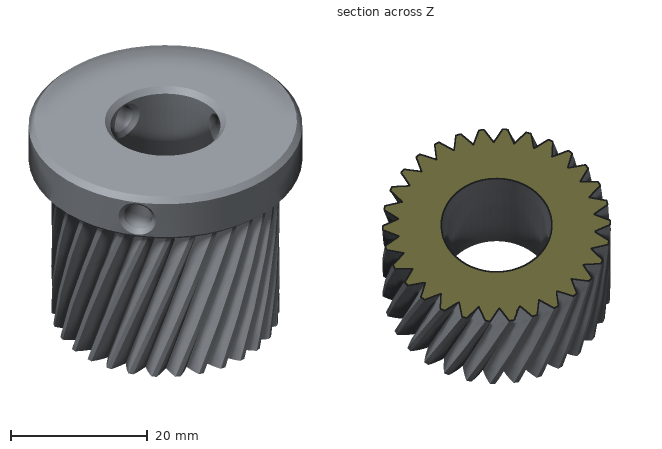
import cadquery as cq
import math

total_height = 34.0
flange_diameter = 40.0
flange_thickness = 7.5
flange_chamfer = 0.8

bore_diameter = 16.1
bore_chamfer = 0.8

screw_hole_diameter = 4.3
screw_hole_chamfer = 0.65
screw_hole_count = 3
first_screw_hole_angle = 90.0

tooth_count = 30
tip_radius = 16.7
flank_radius = 15.7
root_radius = 14.4
land_width = 0.75
flank_gap_width = 1.35
twist_angle = 33.8
first_tooth_angle = 0.3

flare_radius = 12.0
flare_depth = 0.7

flange_radius = flange_diameter / 2
bore_radius = bore_diameter / 2
flange_bottom = total_height - flange_thickness
tooth_pitch_angle = 360.0 / tooth_count


def polar(radius, angle):
    """Point at a radius and an angle in degrees."""
    return (radius * math.cos(math.radians(angle)), radius * math.sin(math.radians(angle)))


def half_angle(width, radius):
    """Half of the angle, in degrees, that a width spans at a radius."""
    return math.degrees(width / 2 / radius)


def make_barrel():
    """Toothed barrel: a section of tapered teeth twisted along its height."""
    half_land = half_angle(land_width, tip_radius)
    half_flank_gap = half_angle(flank_gap_width, flank_radius)

    section = cq.Workplane("XY").moveTo(*polar(tip_radius, first_tooth_angle - half_land))
    for tooth in range(tooth_count):
        middle = first_tooth_angle + tooth * tooth_pitch_angle
        next_middle = middle + tooth_pitch_angle
        gap = middle + tooth_pitch_angle / 2
        section = section.threePointArc(
            polar(tip_radius, middle), polar(tip_radius, middle + half_land)
        )
        section = section.threePointArc(
            polar(flank_radius, gap - half_flank_gap), polar(root_radius, gap)
        )
        section = section.threePointArc(
            polar(flank_radius, gap + half_flank_gap), polar(tip_radius, next_middle - half_land)
        )
    return section.close().twistExtrude(flange_bottom, twist_angle)


def make_flange():
    """Chamfered flange with the flare under it, as one turned profile."""
    flare_reach = math.sqrt(flare_radius**2 - (flare_radius - flare_depth) ** 2)
    rim_radius = flange_radius - flange_chamfer
    profile = (
        cq.Workplane("XZ")
        .moveTo(0, flange_bottom - flare_depth)
        .lineTo(root_radius, flange_bottom - flare_depth)
        .radiusArc((root_radius + flare_reach, flange_bottom), flare_radius)
        .lineTo(rim_radius, flange_bottom)
        .lineTo(flange_radius, flange_bottom + flange_chamfer)
        .lineTo(flange_radius, total_height - flange_chamfer)
        .lineTo(rim_radius, total_height)
        .lineTo(0, total_height)
        .close()
    )
    return profile.revolve(360, (0, 0, 0), (0, 1, 0))


def make_bore():
    """Through bore, chamfered at the flange end."""
    profile = (
        cq.Workplane("XZ")
        .lineTo(bore_radius, 0)
        .lineTo(bore_radius, total_height - bore_chamfer)
        .lineTo(bore_radius + bore_chamfer, total_height)
        .lineTo(0, total_height)
        .close()
    )
    return profile.revolve(360, (0, 0, 0), (0, 1, 0))


def drill_screw_holes(flange):
    """Radial holes through the flange wall, chamfered at the bore and at the rim."""
    middle_height = total_height - flange_thickness / 2
    hole = (
        cq.Workplane("YZ", origin=(0, 0, middle_height))
        .circle(screw_hole_diameter / 2)
        .extrude(flange_radius)
    )
    for index in range(screw_hole_count):
        angle = first_screw_hole_angle + index * 360.0 / screw_hole_count
        flange = flange.cut(hole.rotate((0, 0, 0), (0, 0, 1), angle))
    return flange.edges("%BSPLINE").chamfer(screw_hole_chamfer)


bore = make_bore()
flange = drill_screw_holes(make_flange().cut(bore))
result = make_barrel().cut(bore).union(flange)